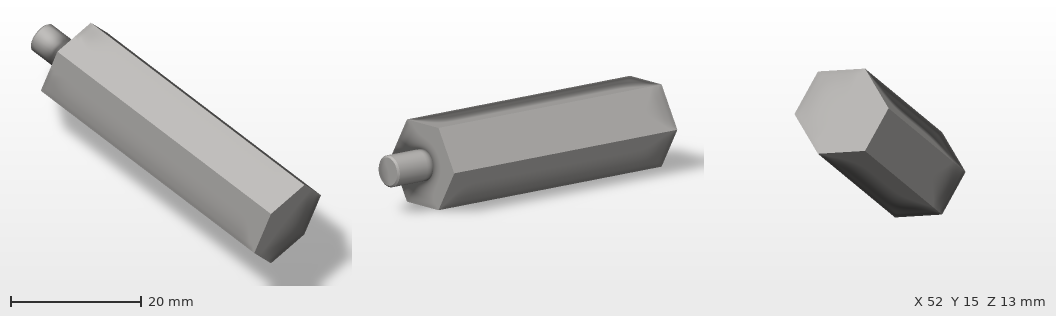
import cadquery as cq
import math

total_length = 52.0
body_length = 45.0
across_flats = 13.0
stud_diameter = 5.0
stud_chamfer = 0.285

across_corners = across_flats / math.cos(math.radians(30))
stud_length = total_length - body_length


def make_body():
    """Hexagonal bar along X, with corners on +Y and -Y and flats on top and bottom."""
    return cq.Workplane("YZ").polygon(6, across_corners).extrude(body_length)


def make_stud():
    """Round stud on the -X end of the bar, with its free edge chamfered."""
    stud = cq.Workplane("YZ").circle(stud_diameter / 2).extrude(-stud_length)
    return stud.faces("<X").chamfer(stud_chamfer)


result = make_body().union(make_stud())